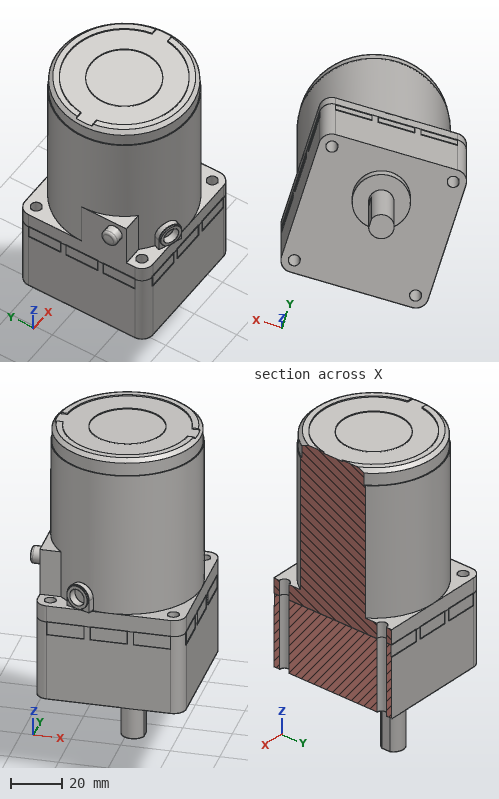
import cadquery as cq
import math

body_width = 60.0
half_width = body_width / 2
corner_radius = 5.1

boss_bottom = 27.8
gearbox_bottom = 32.0
flange_bottom = 66.0
flange_top = 73.0
barrel_top = 134.0
cap_top = 141.0

hole_spacing = 49.6
hole_diameter = 4.7

pocket_count = 3
pocket_rib = 2.5
pocket_height = 5.6
pocket_depth = 0.3
pocket_pitch = (body_width - 2 * corner_radius + pocket_rib) / pocket_count
pocket_width = pocket_pitch - pocket_rib

shaft_offset = 10.0
shaft_radius = 5.0
boss_radius = 11.4
flat_depth = 0.4
flat_length = 24.3

barrel_radius = half_width
cap_radius = 29.6
cap_bevel_width = 1.7
cap_bevel_height = 1.5
cap_recess_radius = 25.4
cap_recess_depth = 0.5
cap_slot_width = 7.3
plate_radius = 15.1
plate_depth = 0.4

block_length = 21.0
block_height = 19.7

button_y = -15.5
button_z = 87.4
button_radius = 3.5
button_length = 5.0
button_edge_radius = 1.1
button_dome_height = 0.4

gland_angle = 22.5
gland_half_width = 5.4
gland_gap = 0.1
gland_reach = 32.3
gland_root = 25.4
collar_radius = 5.0
collar_length = 0.7
cable_hole_radius = 3.5
cable_hole_depth = 3.4


def rounded_square(bottom, top):
    """Square block with rounded vertical corners."""
    block = cq.Workplane("XY").workplane(offset=bottom).rect(body_width, body_width).extrude(top - bottom)
    return block.edges("|Z").fillet(corner_radius)


def disc(radius, bottom, top, y=0):
    """Vertical cylinder centred on X = 0."""
    return cq.Workplane("XY").workplane(offset=bottom).center(0, y).circle(radius).extrude(top - bottom)


def screw_holes():
    """Four vertical cutters that pass through gearbox and flange."""
    return (
        cq.Workplane("XY").workplane(offset=gearbox_bottom)
        .rect(hole_spacing, hole_spacing, forConstruction=True).vertices()
        .circle(hole_diameter / 2).extrude(flange_top - gearbox_bottom)
    )


def side_pockets():
    """Cutters for the row of shallow pockets on each of the four gearbox sides."""
    pocket_z = flange_bottom - pocket_height / 2
    row = cq.Workplane("XY")
    for index in range(pocket_count):
        x = (index - (pocket_count - 1) / 2) * pocket_pitch
        pocket = cq.Workplane("XY").box(pocket_width, 2 * pocket_depth, pocket_height)
        row = row.add(pocket.translate((x, -half_width, pocket_z)))
    cutters = cq.Workplane("XY")
    for angle in (0, 90, 180, 270):
        cutters = cutters.add(row.rotate((0, 0, 0), (0, 0, 1), angle))
    return cutters.combine()


def output_shaft():
    """Round shaft with a flat on its +X side."""
    shaft = disc(shaft_radius, 0, boss_bottom, shaft_offset)
    flat = cq.Workplane("XY").box(
        shaft_radius, 2 * shaft_radius, flat_length, centered=(False, True, False)
    ).translate((shaft_radius - flat_depth, shaft_offset, 0))
    return shaft.cut(flat)


def make_gearhead():
    gearbox = rounded_square(gearbox_bottom, flange_bottom).cut(side_pockets())
    boss = disc(boss_radius, boss_bottom, gearbox_bottom, shaft_offset)
    return gearbox.union(boss).union(output_shaft()).cut(screw_holes())


def end_cap():
    """Bevelled cap with a rim broken by a slot along X and a recessed round plate."""
    bevel_bottom = cap_top - cap_bevel_height
    cap = (
        cq.Workplane("XZ")
        .moveTo(0, barrel_top)
        .lineTo(cap_radius, barrel_top)
        .lineTo(cap_radius, bevel_bottom)
        .lineTo(cap_radius - cap_bevel_width, cap_top)
        .lineTo(0, cap_top)
        .close()
        .revolve(360, (0, 0, 0), (0, 1, 0))
    )
    floor = cap_top - cap_recess_depth
    recess = disc(cap_recess_radius, floor, cap_top)
    slot = (
        cq.Workplane("XY").workplane(offset=floor)
        .rect(body_width, cap_slot_width).extrude(cap_recess_depth)
    )
    plate = disc(plate_radius, floor - plate_depth, floor)
    return cap.cut(recess).cut(slot).cut(plate)


def terminal_block():
    """Block filling the corner between the -X flange side and the barrel."""
    return cq.Workplane("XY").box(
        half_width, block_length, block_height, centered=False
    ).translate((-half_width, -block_length, flange_top))


def button():
    """Round button with a rounded edge and a domed end, pointing to -X."""
    face_radius = button_radius - button_edge_radius
    dome_start = button_length - button_dome_height
    edge_start = dome_start - button_edge_radius
    arc_mid = button_edge_radius * math.sqrt(0.5)
    dome_radius = (face_radius**2 + button_dome_height**2) / (2 * button_dome_height)
    dome_center = button_length - dome_radius
    dome_mid_angle = math.asin(face_radius / dome_radius) / 2
    dome_mid = (
        dome_center + dome_radius * math.cos(dome_mid_angle),
        dome_radius * math.sin(dome_mid_angle),
    )
    profile = (
        cq.Workplane("XY")
        .lineTo(0, button_radius)
        .lineTo(edge_start, button_radius)
        .threePointArc((edge_start + arc_mid, face_radius + arc_mid), (dome_start, face_radius))
        .threePointArc(dome_mid, (button_length, 0))
        .close()
    )
    solid = profile.revolve(360, (0, 0, 0), (1, 0, 0))
    return solid.rotate((0, 0, 0), (0, 0, 1), 180).translate((-half_width, button_y, button_z))


def turned_to_gland(shape):
    """Swing a shape from the -Y direction to the gland direction."""
    return shape.rotate((0, 0, 0), (0, 0, 1), -gland_angle)


def gland_plane(distance):
    """Plane facing -Y at a distance from the motor axis, its origin on the gland axis."""
    axis_z = flange_top + gland_gap + gland_half_width
    return cq.Workplane("XZ", origin=(0, -distance, axis_z))


def gland_disc(radius, inner, outer):
    """Cylinder on the gland axis between two distances from the motor axis."""
    return turned_to_gland(gland_plane(inner).circle(radius).extrude(outer - inner))


def cable_gland():
    """Arched gland with a round collar on its face."""
    arch = (
        gland_plane(gland_root)
        .moveTo(-gland_half_width, -gland_half_width)
        .lineTo(gland_half_width, -gland_half_width)
        .lineTo(gland_half_width, 0)
        .threePointArc((0, gland_half_width), (-gland_half_width, 0))
        .close()
        .extrude(gland_reach - gland_root)
    )
    collar = gland_disc(collar_radius, gland_reach, gland_reach + collar_length)
    return turned_to_gland(arch).union(collar)


def cable_hole():
    """Cutter for the blind hole in the gland."""
    mouth = gland_reach + collar_length
    return gland_disc(cable_hole_radius, mouth - cable_hole_depth, mouth)


def make_motor():
    motor = rounded_square(flange_bottom, flange_top).cut(screw_holes())
    motor = motor.union(disc(barrel_radius, flange_top, barrel_top)).union(end_cap())
    motor = motor.union(terminal_block()).union(button())
    return motor.union(cable_gland()).cut(cable_hole())


gearhead = make_gearhead()
motor = make_motor()

result = cq.Compound.makeCompound([gearhead.solids().val(), motor.solids().val()])